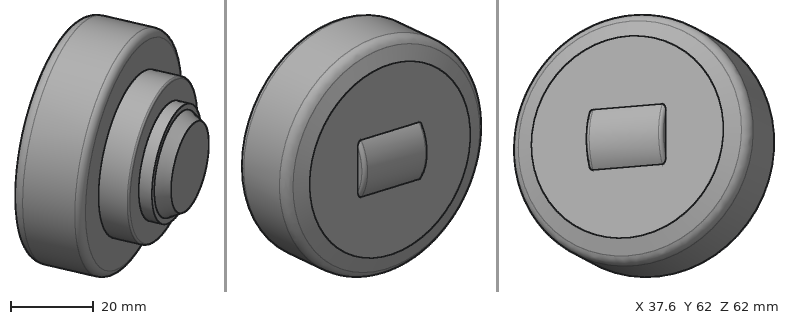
import cadquery as cq
import math

disc_diameter = 62.0
disc_width = 20.0
front_face_diameter = 50.0
front_cone_angle = 20.0
front_round = 3.0
back_round = 2.0

shoulder_diameter = 42.0
shoulder_length = 8.0
shoulder_round = 0.5

collar_diameter = 30.0
collar_length = 3.5

tip_base_diameter = 27.05
tip_length = 3.55
tip_slope = 30.0

roller_diameter = 25.0
roller_length = 20.0
roller_round = 1.0
roller_protrusion = 2.5
roller_center_x = roller_diameter / 2 - roller_protrusion


def make_roller():
    """Cylinder along Y with rounded end edges."""
    return (
        cq.Workplane("XZ", origin=(roller_center_x, roller_length / 2, 0))
        .circle(roller_diameter / 2)
        .extrude(roller_length)
        .faces("<Y or >Y")
        .edges()
        .fillet(roller_round)
    )


def step(start_x, diameter, length):
    """Round step of the body, extruded along +X from start_x."""
    return cq.Workplane("YZ", origin=(start_x, 0, 0)).circle(diameter / 2).extrude(length)


def make_disc():
    """Disc with a shallow front cone and rounded rims."""
    disc_radius = disc_diameter / 2
    face_radius = front_face_diameter / 2
    cone_depth = (disc_radius - face_radius) * math.tan(math.radians(front_cone_angle))
    disc = (
        cq.Workplane("XY")
        .moveTo(0, 0)
        .lineTo(0, face_radius)
        .lineTo(cone_depth, disc_radius)
        .lineTo(disc_width, disc_radius)
        .lineTo(disc_width, 0)
        .close()
        .revolve(360, (0, 0, 0), (1, 0, 0))
    )
    disc = disc.edges("%CIRCLE").edges(">>X[1]").fillet(front_round)
    return disc.faces(">X").edges().fillet(back_round)


def make_tip(start_x):
    """Tapered end of the stub."""
    base_radius = tip_base_diameter / 2
    end_radius = base_radius - tip_length * math.tan(math.radians(tip_slope))
    return cq.Workplane(cq.Solid.makeCone(
        base_radius, end_radius, tip_length, cq.Vector(start_x, 0, 0), cq.Vector(1, 0, 0)
    ))


def make_main_body(roller):
    """Disc and stepped stub, with a recess matching the roller."""
    collar_x = disc_width + shoulder_length
    tip_x = collar_x + collar_length
    shoulder = step(disc_width, shoulder_diameter, shoulder_length)
    shoulder = shoulder.faces(">X").edges().fillet(shoulder_round)
    collar = step(collar_x, collar_diameter, collar_length)
    body = make_disc().union(shoulder).union(collar).union(make_tip(tip_x))
    return body.cut(roller)


roller = make_roller()
main_body = make_main_body(roller)

result = cq.Compound.makeCompound([main_body.solids().val(), roller.solids().val()])